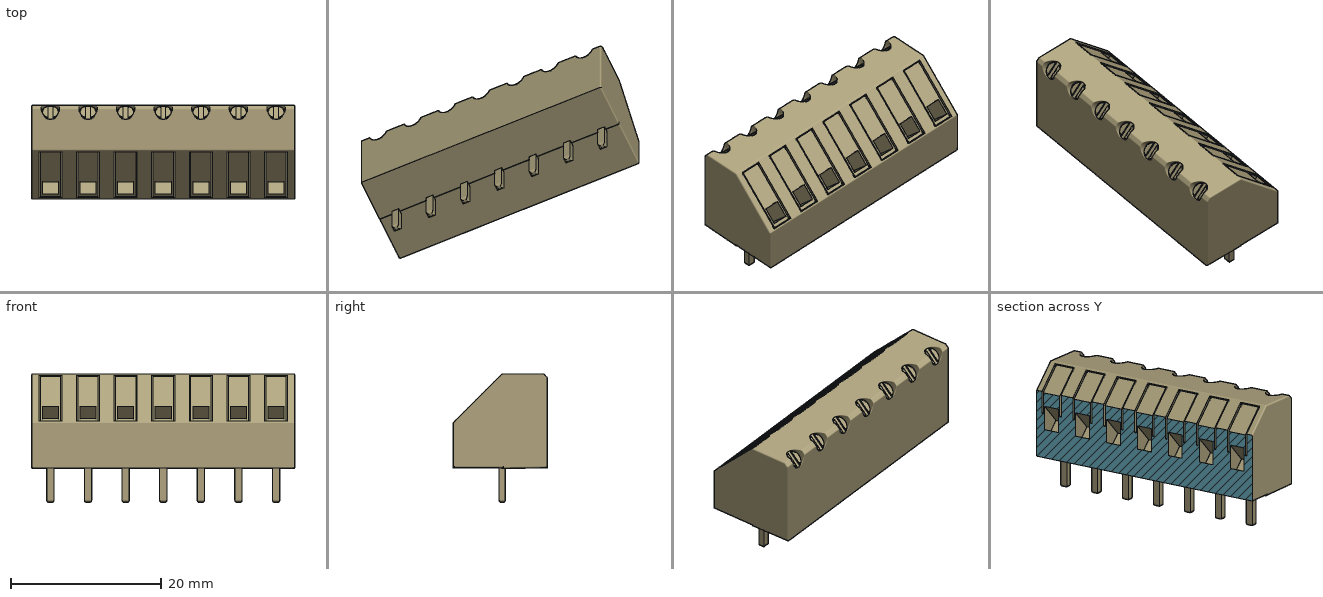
import cadquery as cq
pole_count = 7
pitch = 5.0

housing_length = pole_count * pitch
housing_height = 12.5
back_y = 6.0
front_y = -6.5
slope_rise = 6.5
back_chamfer = 0.5
bottom_sag = 0.1
edge_radius = 0.2

window_width = 3.06
window_margin = 0.2
block_width = 2.7
block_recess = 0.15
entry_width = 2.15
entry_length = 2.25
entry_drop = 2.6
entry_depth = 5.0

screw_hole_diameter = 2.46
screw_head_diameter = 2.16
screw_floor_inset = 1.02
screw_head_height = 0.2
screw_hole_length = 4.0
screw_axis_inset = 0.04
screw_slot_width = 0.64
screw_rim_radius = 0.07

pin_width = 1.0
pin_thickness = 0.85
pin_length = 4.5
pin_tip_radius = 0.35
pin_root = 1.0

pole_positions = [(i - (pole_count - 1) / 2) * pitch for i in range(pole_count)]


def make_housing():
    """Extruded side outline with rounded upper and side edges."""
    outline = [
        (front_y, 0),
        (0, 0),
        (0, -bottom_sag),
        (back_y, 0),
        (back_y, housing_height - back_chamfer),
        (back_y - back_chamfer, housing_height),
        (front_y + slope_rise, housing_height),
        (front_y, housing_height - slope_rise),
    ]
    body = (
        cq.Workplane("YZ")
        .polyline(outline)
        .close()
        .extrude(housing_length / 2, both=True)
    )
    end_edges = body.faces("<X or >X").edges()
    upper_edges = body.edges("|X").edges(cq.selectors.BoxSelector(
        (-housing_length, 2 * front_y, edge_radius),
        (housing_length, 2 * back_y, 2 * housing_height),
    ))
    return end_edges.add(upper_edges).fillet(edge_radius)


def make_wedge(x, width, inner_y, inner_z, leg):
    """Right-angled wedge with a vertical back, a level floor and a 45 degree face."""
    return (
        cq.Workplane("YZ", origin=(x, 0, 0))
        .moveTo(inner_y, inner_z)
        .lineTo(inner_y - leg, inner_z)
        .lineTo(inner_y, inner_z + leg)
        .close()
        .extrude(width / 2, both=True)
    )


def make_wire_entry(x):
    """Cutter for a wedge-shaped window, leaving a narrower clamp block with a wire hole."""
    inner_y = front_y + slope_rise - window_margin
    inner_z = housing_height - slope_rise + window_margin
    pocket_leg = slope_rise - 2 * window_margin
    pocket = make_wedge(x, window_width, inner_y, inner_z, pocket_leg)
    block_leg = pocket_leg - block_recess
    block = make_wedge(x, block_width, inner_y, inner_z, block_leg)
    face_middle = (x, inner_y - block_leg / 2, inner_z + block_leg / 2)
    face = cq.Plane(origin=face_middle, xDir=(1, 0, 0), normal=(0, -1, 1))
    entry = (
        cq.Workplane(face)
        .center(0, -entry_drop)
        .rect(entry_width, entry_length)
        .extrude(-entry_depth)
    )
    return pocket.cut(block).union(entry)


def screw_floor(x):
    """Workplane on the floor of the tilted screw hole."""
    floor_drop = screw_floor_inset - screw_axis_inset
    floor_center = (x, back_y - screw_floor_inset, housing_height - floor_drop)
    return cq.Workplane(cq.Plane(origin=floor_center, xDir=(1, 0, 0), normal=(0, 1, 1)))


def make_screw_hole(x):
    """Cutter for the screw hole, open through the upper back corner of the housing."""
    return screw_floor(x).circle(screw_hole_diameter / 2).extrude(screw_hole_length)


def make_screw_head(x):
    """Slotted screw head standing on the floor of its hole."""
    head = screw_floor(x).circle(screw_head_diameter / 2).extrude(screw_head_height)
    slot = screw_floor(x).rect(screw_slot_width, screw_hole_diameter).extrude(screw_head_height)
    return head.cut(slot)


def make_pin(x):
    """Rectangular pin with a rounded tip, rooted inside the housing."""
    tip_z = -bottom_sag - pin_length
    return (
        cq.Workplane("XY", origin=(x, 0, tip_z))
        .rect(pin_width, pin_thickness)
        .extrude(pin_root - tip_z)
        .faces("<Z")
        .edges()
        .fillet(pin_tip_radius)
    )


housing = make_housing()
for pole_x in pole_positions:
    housing = housing.cut(make_wire_entry(pole_x))
    housing = housing.cut(make_screw_hole(pole_x))
screw_rims = housing.faces(">Z").edges("%ELLIPSE")

result = screw_rims.fillet(screw_rim_radius)
for pole_x in pole_positions:
    result = result.union(make_screw_head(pole_x))
    result = result.union(make_pin(pole_x))